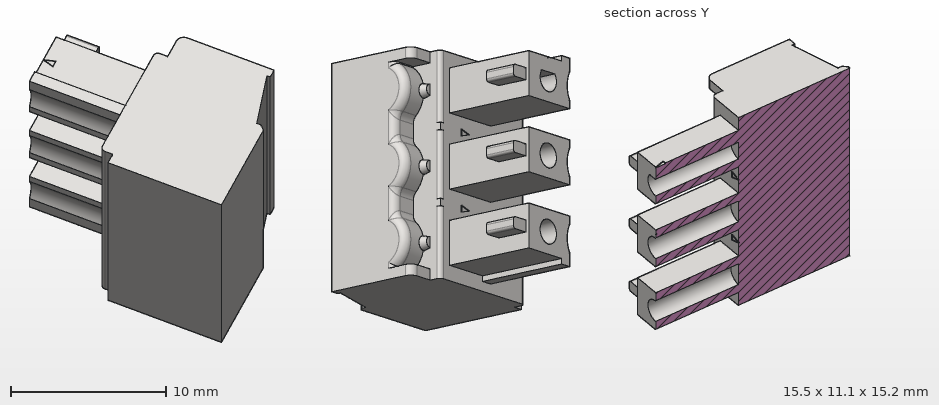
import cadquery as cq
import math

length = 15.5
depth = 11.1
height = 15.24

pole_count = 3
pitch = 5.08
lowest_pole = height / 2 - (pole_count - 1) / 2 * pitch
pole_centres = [lowest_pole + i * pitch for i in range(pole_count)]
pole_height = 3.0
pole_start = 4.18
pole_end = 8.32
flange_depth = 0.82
flange_height = 0.37
groove_width = 1.89
groove_depth = 0.25
hole_radius = 0.82
hole_y = 6.35
hole_flat = 0.5

key_start = 0.25
key_end = 2.5
key_height = 0.8
key_tip = 9.56
key_tip_round = 0.19

shelf_front = 6.6
shelf_start = 0.73
shelf_end = 9.24
shelf_round = 0.31
wall_front = 7.47
wall_thickness = 0.75
top_round = 0.55
lip_back = 14.15
lip_start = 10.5
lip_undercut = 0.23
slope_start = 6.8
slope_back = 14.88
back_chamfer = 0.31

tower_front = 8.0
tower_radius = 2.1
gap_front = 8.88
tower_blend = 0.75

stop_width = 0.5

pad_base_radius = 0.5
pad_tip_radius = 0.37

arrow_length = 0.78
arrow_width = 0.45
arrow_depth = 0.06
arrow_start = 7.1

overlap = 0.15


def block(x_range, y_range, z_range):
    """Box between two limits on each axis."""
    (x0, x1), (y0, y1), (z0, z1) = x_range, y_range, z_range
    return cq.Workplane("XY").box(x1 - x0, y1 - y0, z1 - z0, centered=False).translate((x0, y0, z0))


def housing_slab(front, bottom, top):
    """Housing outline with the given front face, extruded between two heights."""
    bend = top_round * (1 - math.sqrt(0.5))
    return (
        cq.Workplane("XY", origin=(0, 0, bottom))
        .moveTo(front, 0)
        .lineTo(length, 0)
        .lineTo(length, slope_start - back_chamfer)
        .lineTo(length - back_chamfer, slope_start)
        .lineTo(slope_back, slope_start)
        .lineTo(lip_back - lip_undercut, lip_start)
        .lineTo(lip_back, lip_start)
        .lineTo(lip_back, depth)
        .lineTo(front + top_round, depth)
        .threePointArc((front + bend, depth - bend), (front, depth - top_round))
        .close()
        .extrude(top - bottom)
    )


def tower(z):
    """Round screw tower with a rounded rim, standing on the shelf."""
    return (
        cq.Workplane("XY")
        .cylinder(depth - shelf_end, tower_radius, centered=(True, True, False))
        .faces(">Z")
        .edges()
        .fillet(top_round)
        .rotate((0, 0, 0), (1, 0, 0), -90)
        .translate((tower_front + tower_radius, shelf_end, z))
    )


def tower_bank():
    """Recessed core with its towers, blended where towers face each other."""
    bank = housing_slab(gap_front, 0, height)
    for z in pole_centres:
        bank = bank.union(tower(z))
    margin = 0.02
    blend_zone = cq.selectors.BoxSelector(
        (gap_front - margin, shelf_end - margin, pole_centres[0]),
        (gap_front + margin, depth - top_round + margin, pole_centres[-1]),
    )
    return bank.edges("|Y").edges(blend_zone).fillet(tower_blend)


def shelf():
    """Front plate that carries the poles, rounded along both long edges, with square stops."""
    plate = block((shelf_front, gap_front + overlap), (shelf_start, shelf_end), (0, height))
    plate = plate.edges("|Z and <X").fillet(shelf_round)
    for z in pole_centres[:-1]:
        middle = z + pitch / 2
        plate = plate.union(block(
            (shelf_front, wall_front),
            (shelf_end - shelf_round, shelf_end),
            (middle - stop_width / 2, middle + stop_width / 2),
        ))
    return plate


def pad(z):
    """Cone with its axis along X at the top of the shelf, narrowing toward the front."""
    return (
        cq.Workplane("YZ", origin=(wall_front, shelf_end, z))
        .circle(pad_tip_radius)
        .workplane(offset=tower_front - wall_front)
        .circle(pad_base_radius)
        .loft()
    )


def key(z):
    """Rib on the +Y side of a pole, with rounded tip corners."""
    return block(
        (key_start, key_end),
        (pole_end - overlap, key_tip),
        (z - key_height / 2, z + key_height / 2),
    ).edges("|X and >Y").fillet(key_tip_round)


def pole(z):
    """Pole with its key, its front groove and, on the outermost poles, a flange."""
    x_range = (0, shelf_front + overlap)
    top = z + pole_height / 2
    bottom = z - pole_height / 2
    body = block(x_range, (pole_start, pole_end), (bottom, top)).union(key(z))
    flange_y = (pole_start, pole_start + flange_depth)
    if z == pole_centres[-1]:
        body = body.union(block(x_range, flange_y, (z, top + flange_height)))
    if z == pole_centres[0]:
        body = body.union(block(x_range, flange_y, (bottom - flange_height, z)))
    groove = (
        cq.Workplane("YZ", origin=(0, 0, z))
        .moveTo(pole_start, -groove_width / 2)
        .threePointArc((pole_start + groove_depth, 0), (pole_start, groove_width / 2))
        .close()
        .extrude(shelf_front)
    )
    return body.cut(groove)


def contact_hole(z):
    """Pin hole through the full length of a pole; the last one has a flat."""
    hole = cq.Workplane("YZ", origin=(0, hole_y, z)).circle(hole_radius).extrude(shelf_front)
    if z == pole_centres[-1]:
        flat_cut = block(
            (0, shelf_front),
            (hole_y - hole_radius, hole_y + hole_radius),
            (z + hole_flat, z + hole_radius),
        )
        hole = hole.cut(flat_cut)
    return hole


def front_arrow(z):
    """Arrow engraved in the shelf front, pointing toward -Y."""
    return (
        cq.Workplane("YZ", origin=(shelf_front, arrow_start, z))
        .polyline([(0, -arrow_width / 2), (0, arrow_width / 2), (-arrow_length, 0)])
        .close()
        .extrude(arrow_depth)
    )


def pole_arrow():
    """Arrow engraved in the top of the last pole, pointing at its tip."""
    return (
        cq.Workplane("XY", origin=(0, hole_y, pole_centres[-1] + pole_height / 2))
        .polyline([(arrow_length, -arrow_width / 2), (arrow_length, arrow_width / 2), (0, 0)])
        .close()
        .extrude(-arrow_depth)
    )


result = (
    tower_bank()
    .union(housing_slab(wall_front, 0, wall_thickness))
    .union(housing_slab(wall_front, height - wall_thickness, height))
    .union(block((wall_front, gap_front + overlap), (0, shelf_end), (0, height)))
    .union(shelf())
)

for pole_z in pole_centres:
    result = result.union(pad(pole_z)).union(pole(pole_z))
for pole_z in pole_centres:
    result = result.cut(contact_hole(pole_z))

for pole_z in pole_centres[:-1]:
    result = result.cut(front_arrow(pole_z + pitch / 2))
result = result.cut(pole_arrow())